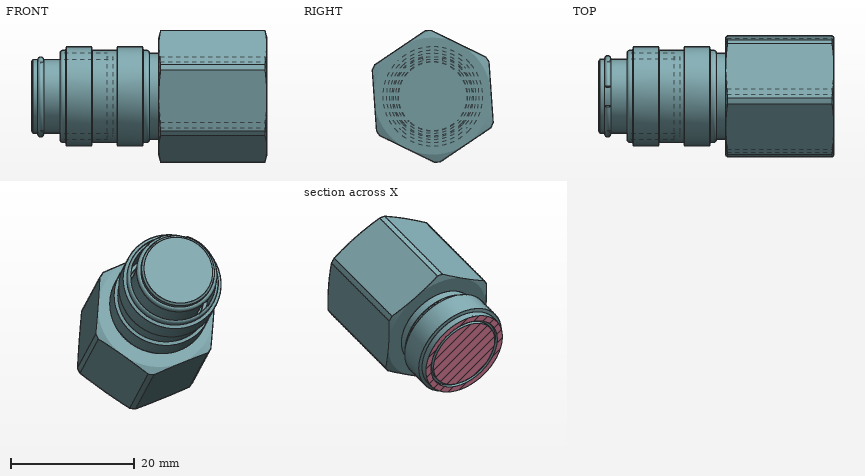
import cadquery as cq
import math

TOTAL_LENGTH = 38.15

NECK_DIAMETER = 12.0
TIP_CHAMFER_LENGTH = 0.25
TIP_FACE_DIAMETER = 11.3

WIRE_DIAMETER = 1.0
GROOVE_START = 1.0
GROOVE_DIAMETER = 11.15
RING_DIAMETER = 12.25
RING_GAP_ANGLE = 30.0

SLEEVE_START = 4.6
SLEEVE_END = 19.1
SLEEVE_DIAMETER = 15.0
SLEEVE_FILLET = 0.5
SLEEVE_BORE_DIAMETER = SLEEVE_DIAMETER - 2 * SLEEVE_FILLET
SLEEVE_BORE_DEPTH = 7.63
INNER_BORE_DIAMETER = 12.8
INNER_BORE_DEPTH = 8.62
BAND_DIAMETER = 16.15
BAND_BASE_WIDTH = 4.3
BAND_FLANK_RUN = 0.1
BAND_STARTS = (5.55, 13.8)

SHANK_DIAMETER = SLEEVE_BORE_DIAMETER

HEX_START = 20.6
HEX_ACROSS_FLATS = 19.0
HEX_CORNER_DIAMETER = 21.4
HEX_FACE_DIAMETER = 18.95
HEX_CHAMFER_ANGLE = 15.0
HEX_TILT = 4.0


def cylinder(diameter, start, end):
    """Solid cylinder about the X axis from x = start to x = end."""
    return cq.Workplane("YZ").workplane(offset=start).circle(diameter / 2).extrude(end - start)


def revolved(points):
    """Solid of revolution about the X axis from (x, radius) points."""
    return cq.Workplane("XY").polyline(points).close().revolve(360, (0, 0), (1, 0))


def make_neck():
    """Plug end with a chamfered tip and the groove for the snap ring."""
    neck_radius = NECK_DIAMETER / 2
    groove_radius = GROOVE_DIAMETER / 2
    groove_end = GROOVE_START + WIRE_DIAMETER
    return revolved([
        (0, 0),
        (0, TIP_FACE_DIAMETER / 2),
        (TIP_CHAMFER_LENGTH, neck_radius),
        (GROOVE_START, neck_radius),
        (GROOVE_START, groove_radius),
        (groove_end, groove_radius),
        (groove_end, neck_radius),
        (SLEEVE_END, neck_radius),
        (SLEEVE_END, 0),
    ])


def make_band(start):
    """Raised ring with slightly conical flanks, its base starting at x = start."""
    base_radius = SLEEVE_DIAMETER / 2
    band_radius = BAND_DIAMETER / 2
    end = start + BAND_BASE_WIDTH
    return revolved([
        (start, 0),
        (start, base_radius),
        (start + BAND_FLANK_RUN, band_radius),
        (end - BAND_FLANK_RUN, band_radius),
        (end, base_radius),
        (end, 0),
    ])


def make_sleeve():
    """Sleeve with rounded ends, two raised bands and a stepped open bore around the neck."""
    sleeve = cylinder(SLEEVE_DIAMETER, SLEEVE_START, SLEEVE_END).edges().fillet(SLEEVE_FILLET)
    for start in BAND_STARTS:
        sleeve = sleeve.union(make_band(start))
    bore = cylinder(SLEEVE_BORE_DIAMETER, SLEEVE_START, SLEEVE_START + SLEEVE_BORE_DEPTH)
    inner_bore = cylinder(INNER_BORE_DIAMETER, SLEEVE_START, SLEEVE_START + INNER_BORE_DEPTH)
    return sleeve.cut(bore).cut(inner_bore)


def make_hexagon():
    """Hexagon with corners turned to a cylinder and both ends chamfered to a cone."""
    corner_radius = HEX_CORNER_DIAMETER / 2
    face_radius = HEX_FACE_DIAMETER / 2
    chamfer_length = (corner_radius - face_radius) * math.tan(math.radians(HEX_CHAMFER_ANGLE))
    point_to_point = HEX_ACROSS_FLATS / math.cos(math.radians(30))
    prism = (
        cq.Workplane("YZ")
        .workplane(offset=HEX_START)
        .polygon(6, point_to_point)
        .extrude(TOTAL_LENGTH - HEX_START)
        .rotate((0, 0, 0), (1, 0, 0), 90 + HEX_TILT)
    )
    turned_blank = revolved([
        (HEX_START, 0),
        (HEX_START, face_radius),
        (HEX_START + chamfer_length, corner_radius),
        (TOTAL_LENGTH - chamfer_length, corner_radius),
        (TOTAL_LENGTH, face_radius),
        (TOTAL_LENGTH, 0),
    ])
    return prism.intersect(turned_blank)


def make_fitting():
    """One-piece coupling body: neck, sleeve, shank and hexagon."""
    shank = cylinder(SHANK_DIAMETER, SLEEVE_END, HEX_START)
    return make_neck().union(make_sleeve()).union(shank).union(make_hexagon())


def make_snap_ring():
    """Round-wire ring between the groove walls, open at the top (+Z)."""
    wire_radius = WIRE_DIAMETER / 2
    ring_radius = RING_DIAMETER / 2
    ring_centre_x = GROOVE_START + wire_radius
    return (
        cq.Workplane("XZ")
        .center(ring_centre_x, ring_radius)
        .circle(wire_radius)
        .revolve(360 - RING_GAP_ANGLE, (0, -ring_radius), (1, -ring_radius))
        .rotate((0, 0, 0), (1, 0, 0), RING_GAP_ANGLE / 2)
    )


fitting = make_fitting()
snap_ring = make_snap_ring()
result = cq.Compound.makeCompound([fitting.val(), snap_ring.val()])